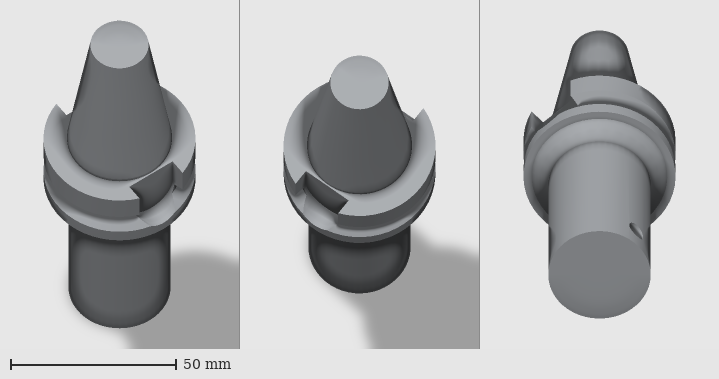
import cadquery as cq
import math

gauge_height = 79.0
taper_length = 48.4
collar_height = 1.0
flange_height = 22.0
total_height = gauge_height + taper_length
flange_top = gauge_height - collar_height
flange_bottom = gauge_height - flange_height

taper_large_radius = 31.75 / 2
taper_rate = 7 / 24
taper_small_radius = taper_large_radius - taper_length * taper_rate / 2
flange_radius = 46.0 / 2
nose_radius = 31.0 / 2

cone_height = 5.0
cone_radius = nose_radius + cone_height

groove_center = gauge_height - 13.55
groove_floor_width = 3.2
groove_floor_radius = 38.0 / 2
groove_flank_angle = math.radians(30)
groove_flank_rise = (flange_radius - groove_floor_radius) * math.tan(groove_flank_angle)
groove_floor_top = groove_center + groove_floor_width / 2
groove_floor_bottom = groove_center - groove_floor_width / 2

slot_width = 16.1
slot_floor_offset = 16.3
slot_bottom = gauge_height - 18.8
slot_round_center = slot_bottom + slot_width / 2

screw_hole_diameter = 6.2
screw_hole_height = 8.3
screw_hole_depth = screw_hole_diameter

cut_margin = 1.0


def make_body():
    """Revolve the half profile of nose, flange, collar and taper about Z."""
    profile = (
        cq.Workplane("XZ")
        .moveTo(0, 0)
        .lineTo(nose_radius, 0)
        .lineTo(nose_radius, flange_bottom - cone_height)
        .lineTo(cone_radius, flange_bottom)
        .lineTo(flange_radius, flange_bottom)
        .lineTo(flange_radius, groove_floor_bottom - groove_flank_rise)
        .lineTo(groove_floor_radius, groove_floor_bottom)
        .lineTo(groove_floor_radius, groove_floor_top)
        .lineTo(flange_radius, groove_floor_top + groove_flank_rise)
        .lineTo(flange_radius, flange_top)
        .lineTo(taper_large_radius, flange_top)
        .lineTo(taper_large_radius, gauge_height)
        .lineTo(taper_small_radius, total_height)
        .lineTo(0, total_height)
        .close()
    )
    return profile.revolve(360, (0, 0, 0), (0, 1, 0))


def make_drive_slot(side):
    """Cutter for one drive slot; side is -1 for -X or +1 for +X."""
    half_width = slot_width / 2
    slot_top = flange_top + cut_margin
    depth = flange_radius - slot_floor_offset + cut_margin
    return (
        cq.Workplane("YZ", origin=(side * slot_floor_offset, 0, 0))
        .moveTo(-half_width, slot_top)
        .lineTo(-half_width, slot_round_center)
        .threePointArc((0, slot_bottom), (half_width, slot_round_center))
        .lineTo(half_width, slot_top)
        .close()
        .extrude(side * depth)
    )


def make_screw_hole():
    """Cutter for the radial screw hole, starting just outside the nose."""
    start = cq.Vector(0, nose_radius + cut_margin, screw_hole_height)
    inward = cq.Vector(0, -1, 0)
    length = screw_hole_depth + cut_margin
    return cq.Solid.makeCylinder(screw_hole_diameter / 2, length, start, inward)


result = make_body()
for slot_side in (-1, 1):
    result = result.cut(make_drive_slot(slot_side))
result = result.cut(make_screw_hole())